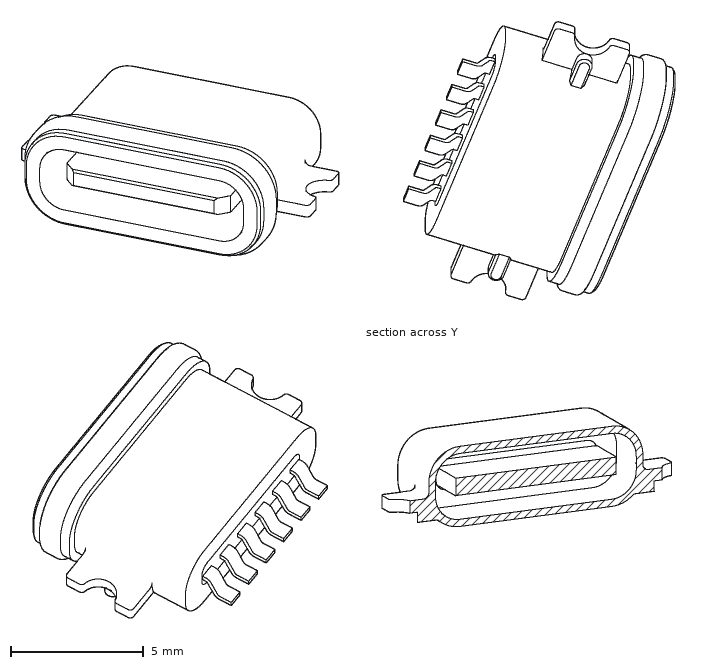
import cadquery as cq
import math


CORE_WIDTH = 6.35
CORE_HEIGHT = 0.56
BODY_RADIUS = 1.3
FLANGE_RADIUS = 1.65
CAVITY_RADIUS = 1.0
RING_RADIUS = 1.85

BODY_LENGTH = 6.7
REAR_WALL = 1.0
CAVITY_DEPTH = BODY_LENGTH - REAR_WALL
FLANGE_LENGTH = 1.7
FLANGE_CHAMFER = 0.1

RING_START = 0.4
RING_WIDTH = 0.9
RING_FILLET = 0.2

WING_TIP_X = 5.9
WING_ROOT_X = 4.0
WING_LENGTH = 3.0
WING_CENTER_Y = 3.7
WING_THICKNESS = 0.5
WING_BOTTOM_Z = -0.8
WING_TOP_Z = WING_BOTTOM_Z + WING_THICKNESS
WING_CORNER_FILLET = 0.15
WING_ROOT_FILLET = 0.2
NOTCH_RADIUS = 0.7
BODY_SIDE_X = CORE_WIDTH / 2 + BODY_RADIUS

PEG_RADIUS = 0.3
PEG_HEIGHT = 0.5
PEG_CENTER_X = 4.9
PEG_ROOT_X = 3.8
PEG_CHAMFER = 0.1

PLUG_HEIGHT = 1.2
PLUG_CORNER_RADIUS = 0.4
TONGUE_WIDTH = 6.7
TONGUE_THICKNESS = 0.7
TONGUE_TIP_Y = 0.2
TONGUE_CORNER_CHAMFER = 0.48
TIP_BEVEL_LENGTH = 0.11
TIP_BEVEL_HEIGHT = 0.075
TERMINAL_COUNT = 6
TERMINAL_PITCH = 1.2
TERMINAL_WIDTH = 0.6
TERMINAL_THICKNESS = 0.2
TERMINAL_END_Y = 7.99
TERMINAL_BEND_Y = 6.945
TERMINAL_BEND_ANGLE = 60
BEND_INNER_RADIUS = 0.1
BEND_OUTER_RADIUS = BEND_INNER_RADIUS + TERMINAL_THICKNESS


def rounded_bar(width, height, radius, start_y, length):
    """Bar along +Y with a rounded rectangular section."""
    return (
        cq.Workplane("XZ", origin=(0, start_y, 0))
        .rect(width, height)
        .extrude(-length)
        .edges("|Y")
        .fillet(radius)
    )


def section_bar(radius, start_y, length):
    """Bar along +Y whose section is the core rectangle grown by the radius."""
    return rounded_bar(CORE_WIDTH + 2 * radius, CORE_HEIGHT + 2 * radius, radius, start_y, length)


def make_wing():
    """Wing on the +X side with a round screw notch and a fillet up to the body wall."""
    plate = (
        cq.Workplane("XY", origin=(0, WING_CENTER_Y, WING_BOTTOM_Z))
        .moveTo((WING_ROOT_X + WING_TIP_X) / 2, 0)
        .rect(WING_TIP_X - WING_ROOT_X, WING_LENGTH)
        .extrude(WING_THICKNESS)
    )
    notch = (
        cq.Workplane("XY", origin=(WING_TIP_X, WING_CENTER_Y, WING_BOTTOM_Z))
        .circle(NOTCH_RADIUS)
        .extrude(WING_THICKNESS)
    )
    plate = plate.cut(notch).faces(">X").edges("|Z").fillet(WING_CORNER_FILLET)

    fillet_x = BODY_SIDE_X + WING_ROOT_FILLET
    fillet_z = WING_TOP_Z + WING_ROOT_FILLET
    arc_offset = WING_ROOT_FILLET * math.sqrt(0.5)
    root_fillet = (
        cq.Workplane("XZ", origin=(0, WING_CENTER_Y, 0))
        .moveTo(WING_ROOT_X, WING_TOP_Z)
        .lineTo(fillet_x, WING_TOP_Z)
        .threePointArc((fillet_x - arc_offset, fillet_z - arc_offset), (BODY_SIDE_X, fillet_z))
        .lineTo(WING_ROOT_X, fillet_z)
        .close()
        .extrude(WING_LENGTH / 2, both=True)
    )
    return plate.union(root_fillet)


def make_peg():
    """Peg under the +X wing: a half-round outer end with straight sides running into the body."""
    return (
        cq.Workplane("XY", origin=(0, WING_CENTER_Y, WING_BOTTOM_Z))
        .moveTo(PEG_ROOT_X, -PEG_RADIUS)
        .lineTo(PEG_CENTER_X, -PEG_RADIUS)
        .threePointArc((PEG_CENTER_X + PEG_RADIUS, 0), (PEG_CENTER_X, PEG_RADIUS))
        .lineTo(PEG_ROOT_X, PEG_RADIUS)
        .close()
        .extrude(-PEG_HEIGHT)
        .faces("<Z")
        .edges()
        .chamfer(PEG_CHAMFER)
    )


def make_plug():
    """Block that fills the opening in the rear wall."""
    return rounded_bar(TONGUE_WIDTH, PLUG_HEIGHT, PLUG_CORNER_RADIUS, CAVITY_DEPTH, REAR_WALL)


def make_housing():
    flange = section_bar(FLANGE_RADIUS, 0, FLANGE_LENGTH).faces("<Y").edges().chamfer(FLANGE_CHAMFER)
    ring_groove = section_bar(FLANGE_RADIUS, RING_START, RING_WIDTH)
    body = flange.cut(ring_groove).union(section_bar(BODY_RADIUS, RING_START, BODY_LENGTH - RING_START))

    side_mount = make_wing().union(make_peg())
    body = body.union(side_mount).union(side_mount.mirror("YZ"))
    return body.cut(section_bar(CAVITY_RADIUS, 0, CAVITY_DEPTH)).cut(make_plug())


def make_seal_ring():
    ring = section_bar(RING_RADIUS, RING_START, RING_WIDTH).faces("<Y or >Y").edges().fillet(RING_FILLET)
    return ring.cut(section_bar(BODY_RADIUS, RING_START, RING_WIDTH))


def make_tongue():
    """Tongue with cut corners in plan and a beveled front edge above and below."""
    half_width = TONGUE_WIDTH / 2
    half_thickness = TONGUE_THICKNESS / 2
    tip_half_width = half_width - TONGUE_CORNER_CHAMFER
    tip_half_thickness = half_thickness - TIP_BEVEL_HEIGHT
    corner_y = TONGUE_TIP_Y + TONGUE_CORNER_CHAMFER
    bevel_y = TONGUE_TIP_Y + TIP_BEVEL_LENGTH
    plan = (
        cq.Workplane("XY")
        .polyline([
            (-half_width, CAVITY_DEPTH),
            (-half_width, corner_y),
            (-tip_half_width, TONGUE_TIP_Y),
            (tip_half_width, TONGUE_TIP_Y),
            (half_width, corner_y),
            (half_width, CAVITY_DEPTH),
        ])
        .close()
        .extrude(half_thickness, both=True)
    )
    side = (
        cq.Workplane("YZ")
        .polyline([
            (CAVITY_DEPTH, -half_thickness),
            (bevel_y, -half_thickness),
            (TONGUE_TIP_Y, -tip_half_thickness),
            (TONGUE_TIP_Y, tip_half_thickness),
            (bevel_y, half_thickness),
            (CAVITY_DEPTH, half_thickness),
        ])
        .close()
        .extrude(half_width, both=True)
    )
    return plan.intersect(side)


def make_terminal(center_x):
    """Terminal tail that leaves level with the tongue and bends down to a foot level with the wings."""
    half_thickness = TERMINAL_THICKNESS / 2
    foot_z = WING_BOTTOM_Z + half_thickness
    foot_bend_y = TERMINAL_BEND_Y - foot_z / math.tan(math.radians(TERMINAL_BEND_ANGLE))
    miter = half_thickness * math.tan(math.radians(TERMINAL_BEND_ANGLE / 2))
    tail = (
        cq.Workplane("YZ", origin=(center_x, 0, 0))
        .polyline([
            (BODY_LENGTH, half_thickness),
            (TERMINAL_BEND_Y + miter, half_thickness),
            (foot_bend_y + miter, foot_z + half_thickness),
            (TERMINAL_END_Y, foot_z + half_thickness),
            (TERMINAL_END_Y, foot_z - half_thickness),
            (foot_bend_y - miter, foot_z - half_thickness),
            (TERMINAL_BEND_Y - miter, -half_thickness),
            (BODY_LENGTH, -half_thickness),
        ])
        .close()
        .extrude(TERMINAL_WIDTH / 2, both=True)
    )

    def bend_edge(y, z):
        return cq.selectors.NearestToPointSelector((center_x, y, z))

    tail = tail.edges(bend_edge(TERMINAL_BEND_Y + miter, half_thickness)).fillet(BEND_OUTER_RADIUS)
    tail = tail.edges(bend_edge(TERMINAL_BEND_Y - miter, -half_thickness)).fillet(BEND_INNER_RADIUS)
    tail = tail.edges(bend_edge(foot_bend_y + miter, foot_z + half_thickness)).fillet(BEND_INNER_RADIUS)
    return tail.edges(bend_edge(foot_bend_y - miter, foot_z - half_thickness)).fillet(BEND_OUTER_RADIUS)


def make_contact_insert():
    insert = make_plug().union(make_tongue())
    first_x = -TERMINAL_PITCH * (TERMINAL_COUNT - 1) / 2
    for index in range(TERMINAL_COUNT):
        insert = insert.union(make_terminal(first_x + index * TERMINAL_PITCH))
    return insert


housing = make_housing()
seal_ring = make_seal_ring()
contact_insert = make_contact_insert()

result = cq.Compound.makeCompound([housing.val(), seal_ring.val(), contact_insert.val()])